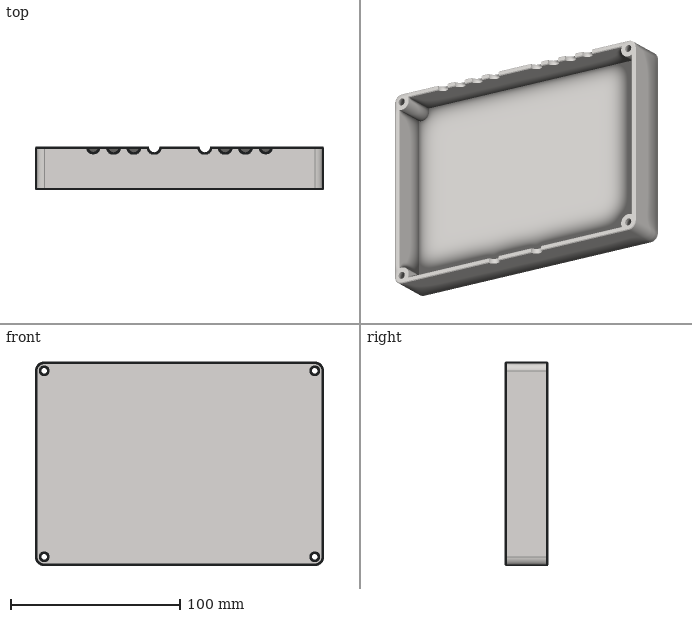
import cadquery as cq

WIDTH = 170.0
DEPTH = 25.0
HEIGHT = 120.0
CORNER_RADIUS = 5.0
EDGE_CHAMFER = 0.5

WALL = 3.0

HOLE_DIAMETER = 4.3
HOLE_CHAMFER = 0.5
CHAMFER_ANGLE = 45.0

NOTCH_PITCH = 12.0
FIRST_NOTCH_X = 15.0
NOTCH_RADII = [3.5, 3.5, 3.5, 3.25]

FRONT_Y = -DEPTH / 2
RIM_Y = DEPTH / 2
TOP_Z = HEIGHT / 2
HOLE_X = WIDTH / 2 - CORNER_RADIUS
HOLE_Z = HEIGHT / 2 - CORNER_RADIUS
CORNERS = [(sx * HOLE_X, sz * HOLE_Z) for sx in (-1, 1) for sz in (-1, 1)]


def y_plane(y):
    """Sketch plane at depth y whose local axes are X and Z and whose normal is -Y."""
    return cq.Workplane("XZ", origin=(0, y, 0))


def outer_block():
    """Solid envelope with rounded corners and bevelled front and rim edges."""
    block = y_plane(RIM_Y).rect(WIDTH, HEIGHT).extrude(DEPTH)
    block = block.edges("|Y").fillet(CORNER_RADIUS)
    return block.faces("<Y or >Y").edges().chamfer(EDGE_CHAMFER)


def cavity():
    """Interior space, leaving a round boss around each screw hole."""
    depth = DEPTH - WALL
    space = y_plane(RIM_Y).rect(WIDTH - 2 * WALL, HEIGHT - 2 * WALL).extrude(depth)
    bosses = y_plane(RIM_Y).pushPoints(CORNERS).circle(CORNER_RADIUS).extrude(depth)
    return space.cut(bosses)


def screw_holes():
    """Through holes with a bevelled mouth in the closed front face."""
    holes = y_plane(RIM_Y).pushPoints(CORNERS).circle(HOLE_DIAMETER / 2).extrude(DEPTH)
    mouths = (
        y_plane(FRONT_Y)
        .pushPoints(CORNERS)
        .circle(HOLE_DIAMETER / 2 + HOLE_CHAMFER)
        .extrude(-HOLE_CHAMFER, taper=CHAMFER_ANGLE)
    )
    return holes.union(mouths)


def rim_bevel():
    """Frustum that bevels the inner edge of the open rim."""
    inner_width = WIDTH - 2 * WALL
    inner_height = HEIGHT - 2 * WALL
    bevel = (
        y_plane(RIM_Y)
        .rect(inner_width + 2 * EDGE_CHAMFER, inner_height + 2 * EDGE_CHAMFER)
        .extrude(EDGE_CHAMFER, taper=CHAMFER_ANGLE)
    )
    bosses = y_plane(RIM_Y).pushPoints(CORNERS).circle(CORNER_RADIUS).extrude(EDGE_CHAMFER)
    return bevel.cut(bosses)


def notch(x, radius, start_z):
    """Round groove along Z, centred on the rim, with a bevelled mouth in the top face."""
    groove = cq.Workplane("XY", origin=(x, RIM_Y, start_z)).circle(radius).extrude(TOP_Z - start_z)
    mouth = (
        cq.Workplane("XY", origin=(x, RIM_Y, TOP_Z))
        .circle(radius + EDGE_CHAMFER)
        .extrude(-EDGE_CHAMFER, taper=CHAMFER_ANGLE)
    )
    return groove.union(mouth)


result = outer_block().cut(cavity()).cut(rim_bevel()).cut(screw_holes())
for side in (-1, 1):
    for index, radius in enumerate(NOTCH_RADII):
        x = side * (FIRST_NOTCH_X + index * NOTCH_PITCH)
        start_z = -TOP_Z if index == 0 else TOP_Z - WALL
        result = result.cut(notch(x, radius, start_z))